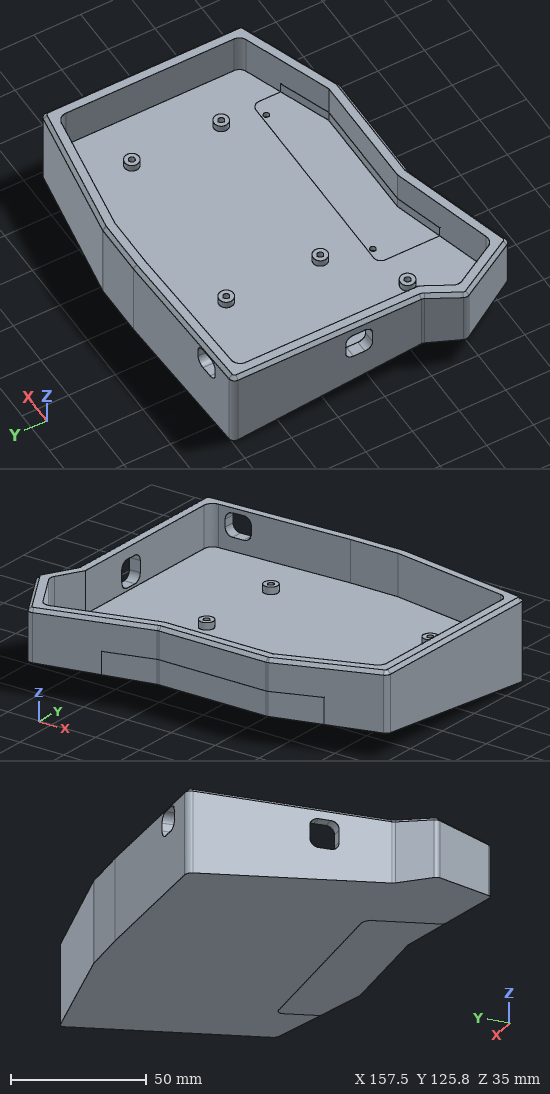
import cadquery as cq
import math

height = 35.0
floor_top = 17.5
underside_slope = 6.0
rear_y = 62.9

wall = 5.0
outer_corner_radius = 2.5
cavity_corner_radius = 4.0
rim_chamfer = 1.5

rear_left = (-71.3, 60.2)
rear_right = (78.8, 53.3)
front_right = (78.8, -32.6)
front_tip = (-63.2, -63.4)
left_tip = (-79.1, -35.8)
outline = [
    rear_left,
    (-4.1, rear_y),
    (18.1, rear_y),
    rear_right,
    front_right,
    (35.6, -49.0),
    (-14.0, -49.0),
    front_tip,
    left_tip,
    (-71.3, -21.5),
]
sharp_corners = [rear_left, rear_right, front_right, front_tip, left_tip]

standoff_diameter = 6.1
standoff_height = 3.0
standoff_hole_diameter = 2.5
standoff_hole_depth = 5.0
drill_point_angle = 118.0
standoff_places = [(-23.2, 34.4), (-23.2, -6.0), (52.8, 29.8), (52.8, -8.5), (-50.1, -27.5)]

opening_width = 11.5
opening_radius = 3.3
side_opening_height = 11.5
side_opening_y = 5.8
side_opening_z = 24.5
rear_opening_height = 9.8
rear_opening_x = -53.8
rear_opening_z = 28.0

hatch_left = -35.3
hatch_right = 56.0
hatch_rear = -23.5
hatch_top = 21.9
hatch_corner_radius = 3.2

hatch_hole_diameter = 2.4
hatch_hole_depth = 2.4
hatch_pilot_diameter = 1.5
hatch_pilot_depth = 4.7
hatch_hole_y = -25.5
hatch_hole_xs = (-28.2, 48.9)

reach = 157.6


def is_sharp_corner(edge):
    """True for a vertical cavity edge that lies behind one of the sharp outline corners."""
    center = edge.Center()
    return any(math.hypot(center.x - x, center.y - y) < 2 * wall for x, y in sharp_corners)


def make_outer():
    """Prism of the outline with rounded corners and a chamfered rim."""
    prism = cq.Workplane("XY").polyline(outline).close().extrude(height)
    return prism.edges("|Z").fillet(outer_corner_radius).faces(">Z").chamfer(rim_chamfer)


def make_cavity():
    """Space above the floor, one wall thickness inside the outline."""
    space = (
        cq.Workplane("XY", origin=(0, 0, floor_top))
        .polyline(outline)
        .close()
        .offset2D(-wall, "intersection")
        .extrude(height)
    )
    return space.edges("|Z").filter(is_sharp_corner).fillet(cavity_corner_radius)


def make_space_below():
    """Everything under the sloping underside."""
    rise = reach * math.tan(math.radians(underside_slope))
    profile = [
        (rear_y - reach, rise),
        (rear_y + reach, -rise),
        (rear_y + reach, -reach),
        (rear_y - reach, -reach),
    ]
    return cq.Workplane("YZ").polyline(profile).close().extrude(reach, both=True)


def make_drilled_hole(x, y, top, diameter, depth):
    """Blind round hole with a conical drill point."""
    radius = diameter / 2
    point = radius / math.tan(math.radians(drill_point_angle / 2))
    profile = [(0, 0), (radius, 0), (radius, -depth), (0, -depth - point)]
    hole = cq.Workplane("XZ").polyline(profile).close().revolve(360, (0, 0), (0, 1))
    return hole.translate((x, y, top))


def make_stepped_hole(x):
    """Hatch hole that narrows to a drilled pilot."""
    pilot = make_drilled_hole(x, hatch_hole_y, floor_top, hatch_pilot_diameter, hatch_pilot_depth)
    mouth = cq.Workplane("XY", origin=(x, hatch_hole_y, floor_top))
    return pilot.union(mouth.circle(hatch_hole_diameter / 2).extrude(-hatch_hole_depth))


def make_side_opening():
    """Opening through the left wall."""
    bar = cq.Workplane("YZ", origin=(rear_left[0], side_opening_y, side_opening_z))
    bar = bar.rect(opening_width, side_opening_height).extrude(2 * wall, both=True)
    return bar.edges("|X").fillet(opening_radius)


def make_rear_opening():
    """Opening through the rear wall."""
    bar = cq.Workplane("XZ", origin=(rear_opening_x, rear_left[1], rear_opening_z))
    bar = bar.rect(opening_width, rear_opening_height).extrude(2 * wall, both=True)
    return bar.edges("|Y").fillet(opening_radius)


def make_case():
    """Whole case, before the hatch is separated from it."""
    case = make_outer().cut(make_cavity()).cut(make_space_below())
    for x, y in standoff_places:
        post = cq.Workplane("XY", origin=(x, y, floor_top))
        case = case.union(post.circle(standoff_diameter / 2).extrude(standoff_height))
        standoff_top = floor_top + standoff_height
        case = case.cut(make_drilled_hole(x, y, standoff_top, standoff_hole_diameter, standoff_hole_depth))
    return case.cut(make_side_opening()).cut(make_rear_opening())


def make_hatch_region():
    """Block that bounds the hatch, open toward the front and rounded at its rear corners."""
    block = cq.Workplane("XY", origin=(hatch_left, hatch_rear - reach, 0))
    block = block.box(hatch_right - hatch_left, reach, hatch_top, centered=False)
    return block.edges("|Z and >Y").fillet(hatch_corner_radius)


def make_housing(case):
    """The case with a matching recess for the hatch."""
    return case.cut(make_hatch_region())


def make_hatch(case):
    """The removable piece of floor and front wall, with its two holes."""
    hatch = case.intersect(make_hatch_region())
    for x in hatch_hole_xs:
        hatch = hatch.cut(make_stepped_hole(x))
    return hatch


case = make_case()
housing = make_housing(case)
hatch = make_hatch(case)

result = cq.Compound.makeCompound([*housing.solids().vals(), *hatch.solids().vals()])